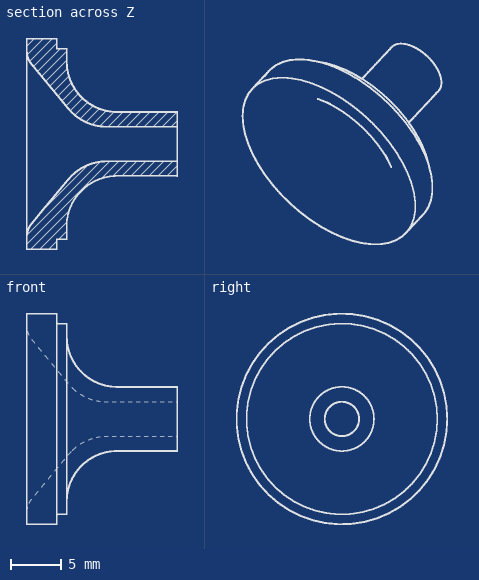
import cadquery as cq
import math

TOTAL_LENGTH = 15.0
FLANGE_RADIUS = 21.0 / 2
FLANGE_THICKNESS = 3.0
STEP_RADIUS = 19.0 / 2
STEP_THICKNESS = 1.0
STEM_RADIUS = 6.4 / 2
STEP_FILLET = 0.1
NECK_FILLET = 5.0

BORE_RADIUS = 3.4 / 2
MOUTH_RADIUS = 18.5 / 2
MOUTH_ROUND = 2.0
THROAT_ROUND = 5.0
THROAT_END = 8.0

QUARTER_ARC_MIDDLE = math.radians(225)

STEP_BACK = FLANGE_THICKNESS + STEP_THICKNESS
STEM_START = STEP_BACK + NECK_FILLET


def arc_point(center_x, center_r, radius, angle):
    """Point (x, r) on a circle, at the given angle from the +X direction."""
    return (center_x + radius * math.cos(angle), center_r + radius * math.sin(angle))


def make_body():
    """Flange, step with root fillet, concave neck and stem as one revolved solid."""
    neck_center_r = STEM_RADIUS + NECK_FILLET
    neck_middle = arc_point(STEM_START, neck_center_r, NECK_FILLET, QUARTER_ARC_MIDDLE)
    root_center_x = FLANGE_THICKNESS + STEP_FILLET
    root_center_r = STEP_RADIUS + STEP_FILLET
    root_middle = arc_point(root_center_x, root_center_r, STEP_FILLET, QUARTER_ARC_MIDDLE)
    profile = (
        cq.Workplane("XY")
        .lineTo(0, FLANGE_RADIUS)
        .lineTo(FLANGE_THICKNESS, FLANGE_RADIUS)
        .lineTo(FLANGE_THICKNESS, root_center_r)
        .threePointArc(root_middle, (root_center_x, STEP_RADIUS))
        .lineTo(STEP_BACK, STEP_RADIUS)
        .lineTo(STEP_BACK, neck_center_r)
        .threePointArc(neck_middle, (STEM_START, STEM_RADIUS))
        .lineTo(TOTAL_LENGTH, STEM_RADIUS)
        .lineTo(TOTAL_LENGTH, 0)
        .close()
    )
    return profile.revolve(360, (0, 0, 0), (1, 0, 0))


def make_funnel():
    """Space inside: rounded mouth, conical wall, rounded throat and through bore."""
    throat_center_r = BORE_RADIUS + THROAT_ROUND

    center_offset_x = THROAT_END - MOUTH_ROUND
    center_offset_r = throat_center_r - MOUTH_RADIUS
    center_distance = math.hypot(center_offset_x, center_offset_r)
    center_angle = math.atan2(center_offset_r, center_offset_x)
    wall_angle = center_angle - math.acos((MOUTH_ROUND - THROAT_ROUND) / center_distance)

    mouth_middle_angle = (wall_angle - math.pi) / 2
    mouth_middle = arc_point(MOUTH_ROUND, MOUTH_RADIUS, MOUTH_ROUND, mouth_middle_angle)
    mouth_end = arc_point(MOUTH_ROUND, MOUTH_RADIUS, MOUTH_ROUND, wall_angle)

    throat_middle_angle = (wall_angle - math.pi / 2) / 2
    throat_start = arc_point(THROAT_END, throat_center_r, THROAT_ROUND, wall_angle)
    throat_middle = arc_point(THROAT_END, throat_center_r, THROAT_ROUND, throat_middle_angle)

    profile = (
        cq.Workplane("XY")
        .lineTo(0, MOUTH_RADIUS)
        .threePointArc(mouth_middle, mouth_end)
        .lineTo(*throat_start)
        .threePointArc(throat_middle, (THROAT_END, BORE_RADIUS))
        .lineTo(TOTAL_LENGTH, BORE_RADIUS)
        .lineTo(TOTAL_LENGTH, 0)
        .close()
    )
    return profile.revolve(360, (0, 0, 0), (1, 0, 0))


result = make_body().cut(make_funnel())